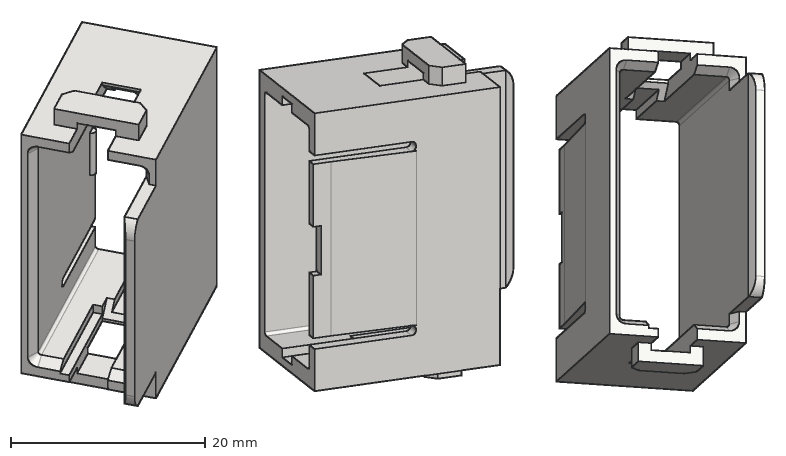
import cadquery as cq
import math

width = 14.6
total_depth = 28.05
total_height = 34.4
body_height = 30.38
body_depth = 20.75

side_wall = 1.45
end_wall = 1.9
cavity_width = width - 2 * side_wall
cavity_height = body_height - 2 * end_wall
cavity_corner = 0.35
mouth_flare = 0.72
mouth_depth = 1.25

tongue_height = 23.77
tongue_tip_bevel = 0.48
tongue_bevel_length = 1.1
tongue_corner_height = 2.0

slot_width = 4.15
slot_length = 11.25
slot_end_lip = 0.35
groove_width = 2.48
groove_depth = 0.95
bridge_height = (total_height - body_height) / 2
bridge_gap = 0.72
bridge_start = 2.7
bridge_depth = 3.68
bridge_chamfer = 1.03
top_bridge_width = 9.15
bottom_bridge_width = 6.95
key_size = 1.0

arm_height = 19.02
arm_length = 11.35
arm_slot = 1.05
arm_slot_corner = 0.5
arm_inset = 0.35
arm_end_length = 1.93
latch_height = 5.33
latch_notch = 0.85
latch_radius = 0.5


def box(x, y, z):
    """Box spanning the given (low, high) ranges."""
    size = [high - low for low, high in (x, y, z)]
    return cq.Workplane("XY").box(*size, centered=False).translate((x[0], y[0], z[0]))


def centred(size):
    return (-size / 2, size / 2)


def sleeve():
    """Rectangular tube whose mouth flares outward."""
    body = box(centred(width), (0, body_depth), centred(body_height))
    cavity = box(centred(cavity_width), (0, body_depth), centred(cavity_height))
    cavity = cavity.edges("|Y").fillet(cavity_corner)
    mouth_corner = cavity_corner + mouth_flare
    mouth = (
        cq.Sketch()
        .rect(cavity_width + 2 * mouth_flare, cavity_height + 2 * mouth_flare)
        .vertices()
        .fillet(mouth_corner)
    )
    flare_angle = math.degrees(math.atan2(mouth_flare, mouth_depth))
    flare = (
        cq.Workplane("XZ")
        .placeSketch(mouth)
        .extrude(-mouth_depth, taper=flare_angle)
    )
    return body.cut(cavity).cut(flare)


def tongue():
    """Plate with a bevelled tip and arcs that meet the tip edge tangentially."""
    tip = body_depth - total_depth
    shoulder = tip + tongue_bevel_length
    half = tongue_height / 2
    inner = width / 2 - side_wall
    arc_end = half - tongue_corner_height
    radius = (tongue_bevel_length**2 + tongue_corner_height**2) / (2 * tongue_bevel_length)
    outline = (
        cq.Workplane("YZ")
        .moveTo(mouth_depth, -half)
        .lineTo(shoulder, -half)
        .radiusArc((tip, -arc_end), radius)
        .lineTo(tip, arc_end)
        .radiusArc((shoulder, half), radius)
        .lineTo(mouth_depth, half)
        .close()
    )
    plate = outline.extrude(side_wall).translate((inner, 0, 0))
    bevel = (
        cq.Workplane("XY")
        .polyline([(inner, tip), (inner + tongue_tip_bevel, tip), (inner, shoulder)])
        .close()
        .extrude(tongue_height)
        .translate((0, 0, -half))
    )
    return plate.cut(bevel)


def wall_slot():
    """Open slot in the top wall, its sloped inner end and the groove behind it."""
    top = body_height / 2
    ceiling = top - end_wall
    slope_run = end_wall - slot_end_lip
    slot = (
        cq.Workplane("YZ")
        .polyline([
            (0, ceiling),
            (slot_length + slope_run, ceiling),
            (slot_length, top - slot_end_lip),
            (slot_length, top),
            (0, top),
        ])
        .close()
        .extrude(slot_width / 2, both=True)
    )
    groove = box(centred(groove_width), (0, body_depth), (ceiling, ceiling + groove_depth))
    return slot.union(groove)


def bridge(bridge_width):
    """Strap across the top slot with its two rear corners chamfered."""
    base = body_height / 2
    depth_range = (bridge_start, bridge_start + bridge_depth)
    strap = box(centred(bridge_width), depth_range, (base, base + bridge_height))
    strap = strap.edges("|Z and >Y").chamfer(bridge_chamfer)
    return strap.cut(box(centred(slot_width), depth_range, (base, base + bridge_gap)))


def key_channel():
    """Shallow rectangular channel along the -X side of the bottom slot."""
    edge = -slot_width / 2
    floor = -cavity_height / 2
    return box((edge - key_size, edge), (0, slot_length), (floor - key_size, floor))


def arm_cuts():
    """Side slots, tapered outer relief and rear notch that shape the latch arm."""
    outer = -width / 2
    wall = (outer, outer + side_wall)
    root = body_depth - arm_length
    slot_low = arm_height / 2
    slot_high = slot_low + arm_slot
    slot = box(wall, (root, body_depth), (slot_low, slot_high))
    slot = slot.edges("|X and <Y").fillet(arm_slot_corner)
    relief = (
        cq.Workplane("XY")
        .polyline([
            (outer, root),
            (outer + arm_inset, body_depth - arm_end_length),
            (outer + arm_inset, body_depth),
            (outer, body_depth),
        ])
        .close()
        .extrude(arm_height / 2, both=True)
    )
    notch = box(wall, (body_depth - latch_notch, body_depth), centred(latch_height))
    return slot.union(slot.mirror("XY")).union(relief).union(notch)


def latch():
    """Rounded catch on the inner face of the arm, just ahead of the notch."""
    catch_y = body_depth - latch_notch - latch_radius
    return (
        cq.Workplane("XY")
        .center(-width / 2 + side_wall, catch_y)
        .circle(latch_radius)
        .extrude(latch_height / 2, both=True)
    )


result = sleeve().union(tongue())
result = result.cut(wall_slot()).cut(wall_slot().mirror("XY"))
result = result.cut(key_channel()).cut(arm_cuts())
result = result.union(bridge(top_bridge_width))
result = result.union(bridge(bottom_bridge_width).mirror("XY"))
result = result.union(latch())